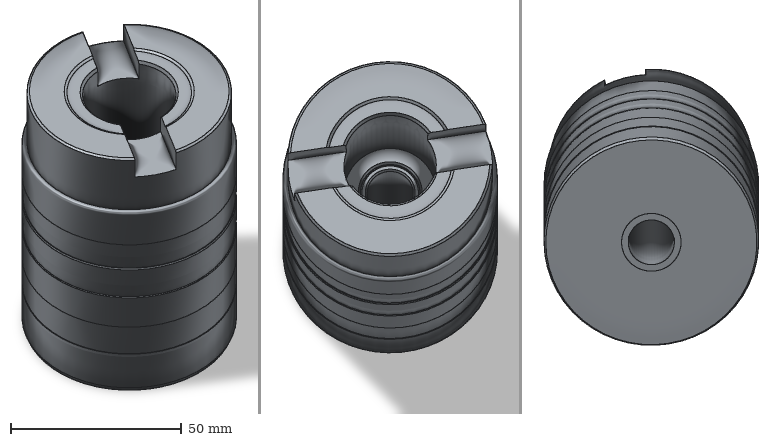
import cadquery as cq

height = 90.0
outer_radius = 31.5
plate_bore_radius = 8.7

base_top = 14.7
lower_ring_top = 25.3
middle_ring_top = 37.1
upper_ring_top = 48.2
plate_top = 57.7

bottom_edge_height = 1.4
bottom_edge_width = 0.5
base_lead_height = 1.2
base_lead_width = 0.2
ring_chamfer = 0.45
middle_ring_chamfer = 0.3
ring_taper_height = 4.5
ring_taper_width = 0.3

neck_radius = 60.0 / 2
shoulder_height = 70.2
shoulder_round = 0.9
top_edge_width = 0.7
top_edge_height = 0.45
recess_radius = 19.1
recess_chamfer = 0.8
recess_depth = 0.45
head_bore_radius = 13.5
bore_mouth_radius = 14.4
lead_in_radius = 13.7
bore_mouth_depth = 0.8
lead_in_bottom = 81.9
slot_width = 12.5
slot_depth = 6.9
slot_angle = -45.0

seat_chamfer = 0.6
bushing_bore_radius = 6.75
bushing_chamfer = 0.5
bushing_rim_chamfer = 0.45
bushing_top = plate_top - seat_chamfer


def revolved(points):
    """Revolve a closed outline of (radius, height) points about Z."""
    return cq.Workplane("XZ").polyline(points).close().revolve(360, (0, 0, 0), (0, 1, 0))


def make_ring(bottom, top, chamfer=0.0, taper=0.0):
    """Ring with a chamfered upper rim and a skirt that narrows towards its lower end."""
    outline = [(plate_bore_radius, bottom), (outer_radius - taper, bottom)]
    if taper:
        outline.append((outer_radius, bottom + ring_taper_height))
    if chamfer:
        outline.append((outer_radius, top - chamfer))
    outline += [(outer_radius - chamfer, top), (plate_bore_radius, top)]
    return revolved(outline)


def make_base():
    return revolved([
        (plate_bore_radius, 0),
        (outer_radius - bottom_edge_width, 0),
        (outer_radius, bottom_edge_height),
        (outer_radius, base_top - base_lead_height),
        (outer_radius - base_lead_width, base_top),
        (plate_bore_radius, base_top),
    ])


def make_plate():
    """Plate under the head, whose bore mouth is chamfered."""
    plate = make_ring(upper_ring_top, plate_top, taper=ring_taper_width)
    bore_mouth = plate.faces(">Z").edges(cq.selectors.RadiusNthSelector(0))
    return bore_mouth.chamfer(seat_chamfer).solids()


def make_head():
    """Necked cap with a recessed face, a stepped bore mouth and a diagonal drive slot."""
    recess_floor = height - recess_depth
    profile = (
        cq.Workplane("XZ")
        .moveTo(head_bore_radius, plate_top)
        .lineTo(outer_radius, plate_top)
        .lineTo(outer_radius, shoulder_height - shoulder_round)
        .radiusArc((outer_radius - shoulder_round, shoulder_height), -shoulder_round)
        .lineTo(neck_radius, shoulder_height)
        .lineTo(neck_radius, height - top_edge_height)
        .lineTo(neck_radius - top_edge_width, height)
        .lineTo(recess_radius, height)
        .lineTo(recess_radius - recess_chamfer, recess_floor)
        .lineTo(bore_mouth_radius, recess_floor)
        .lineTo(lead_in_radius, recess_floor - bore_mouth_depth)
        .lineTo(head_bore_radius, lead_in_bottom)
        .close()
    )
    head = profile.revolve(360, (0, 0, 0), (0, 1, 0))
    slot = (
        cq.Workplane("XY", origin=(0, 0, height - slot_depth))
        .rect(2 * outer_radius, slot_width)
        .extrude(slot_depth)
        .rotate((0, 0, 0), (0, 0, 1), slot_angle)
    )
    return head.cut(slot).solids()


def make_bushing():
    """Sleeve running through the bores of all the bodies below the head."""
    return revolved([
        (bushing_bore_radius, 0),
        (plate_bore_radius, 0),
        (plate_bore_radius, bushing_top - bushing_rim_chamfer),
        (plate_bore_radius - bushing_rim_chamfer, bushing_top),
        (bushing_bore_radius + bushing_chamfer, bushing_top),
        (bushing_bore_radius, bushing_top - bushing_chamfer),
    ])


base = make_base()
lower_ring = make_ring(base_top, lower_ring_top)
middle_ring = make_ring(lower_ring_top, middle_ring_top, chamfer=middle_ring_chamfer)
upper_ring = make_ring(middle_ring_top, upper_ring_top, chamfer=ring_chamfer, taper=ring_taper_width)
plate = make_plate()
head = make_head()
bushing = make_bushing()

bodies = [base, lower_ring, middle_ring, upper_ring, plate, head, bushing]
result = cq.Compound.makeCompound([body.val() for body in bodies])